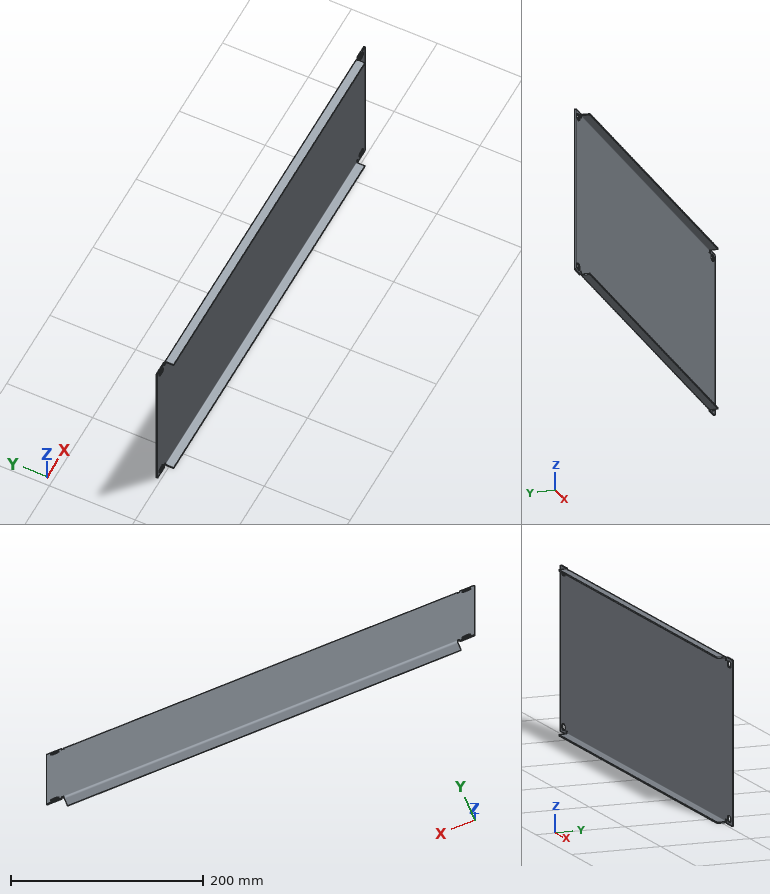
import cadquery as cq

WIDTH = 482.5
DEPTH = 10.5
HEIGHT = 177.5
THICKNESS = 1.5
CORNER_RADIUS = 2.0

FLANGE_LENGTH = 443.5
BEND_INNER_RADIUS = 1.0
BEND_OUTER_RADIUS = BEND_INNER_RADIUS + THICKNESS

NOTCH_WIDTH = 2.5
NOTCH_DEPTH = 4.0

SLOT_LENGTH = 9.5
SLOT_HEIGHT = 6.8
SLOT_SPACING_X = 464.0
SLOT_SPACING_Z = 165.0

FRONT_FACE_Y = -THICKNESS


def make_flanged_channel():
    """U-shaped section along X: panel middle, both bends and both flanges."""
    outer = (
        cq.Workplane("XY")
        .box(FLANGE_LENGTH, DEPTH, HEIGHT, centered=(True, False, True))
        .translate((0, -DEPTH, 0))
        .edges("|X and >Y")
        .fillet(BEND_OUTER_RADIUS)
    )
    inner = (
        cq.Workplane("XY")
        .box(FLANGE_LENGTH, DEPTH, HEIGHT - 2 * THICKNESS, centered=(True, False, True))
        .translate((0, FRONT_FACE_Y - DEPTH, 0))
        .edges("|X and >Y")
        .fillet(BEND_INNER_RADIUS)
    )
    return outer.cut(inner)


def make_ear(side):
    """Flat mounting ear beyond the flange end, with rounded outer corners."""
    ear_width = (WIDTH - FLANGE_LENGTH) / 2
    center_x = side * (WIDTH - ear_width) / 2
    outer_edges = "|Y and >X" if side > 0 else "|Y and <X"
    return (
        cq.Workplane("XY")
        .box(ear_width, THICKNESS, HEIGHT)
        .translate((center_x, -THICKNESS / 2, 0))
        .edges(outer_edges)
        .fillet(CORNER_RADIUS)
    )


def make_relief_notches():
    """Cutters separating the flange ends from the ears."""
    center_x = (FLANGE_LENGTH + NOTCH_WIDTH) / 2
    center_z = (HEIGHT - NOTCH_DEPTH) / 2
    return (
        cq.Workplane("XZ")
        .pushPoints([(x, z) for x in (-center_x, center_x) for z in (-center_z, center_z)])
        .rect(NOTCH_WIDTH, NOTCH_DEPTH)
        .extrude(THICKNESS)
    )


def make_mounting_slots():
    """Cutters for the four round-ended slots."""
    return (
        cq.Workplane("XZ")
        .rarray(SLOT_SPACING_X, SLOT_SPACING_Z, 2, 2)
        .slot2D(SLOT_LENGTH, SLOT_HEIGHT)
        .extrude(THICKNESS)
    )


panel = make_flanged_channel()
for ear_side in (-1, 1):
    panel = panel.union(make_ear(ear_side))

result = panel.cut(make_relief_notches()).cut(make_mounting_slots()).translate((0, DEPTH / 2, 0))